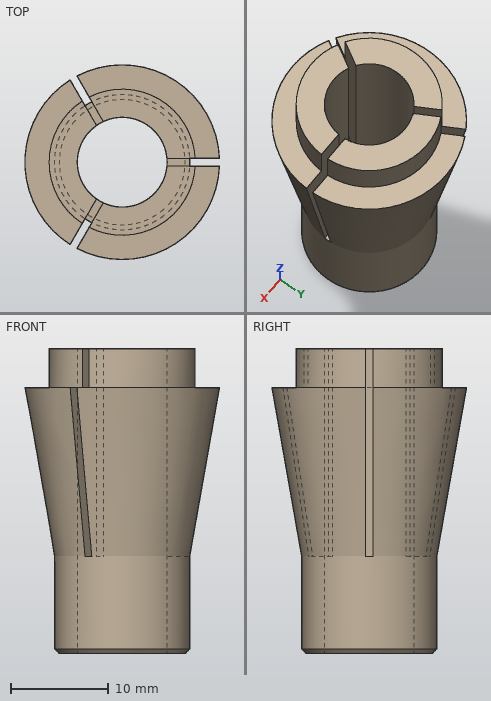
import cadquery as cq

SHANK_HEIGHT = 10.0
CONE_HEIGHT = 17.3
COLLAR_HEIGHT = 4.0
TOTAL_HEIGHT = SHANK_HEIGHT + CONE_HEIGHT + COLLAR_HEIGHT

SHANK_DIAMETER = 13.9
CONE_TOP_DIAMETER = 20.0
COLLAR_DIAMETER = 15.0
BORE_DIAMETER = 9.2

BOTTOM_CHAMFER = 0.5

SLIT_COUNT = 3
SLIT_SPACING = 360 / SLIT_COUNT
SLIT_WIDTH = 0.8


def make_body():
    """Shank, cone and collar as one revolved solid with a through bore."""
    bore_radius = BORE_DIAMETER / 2
    shank_radius = SHANK_DIAMETER / 2
    cone_top_radius = CONE_TOP_DIAMETER / 2
    collar_radius = COLLAR_DIAMETER / 2
    cone_top = SHANK_HEIGHT + CONE_HEIGHT

    half_section = [
        (bore_radius, 0),
        (shank_radius - BOTTOM_CHAMFER, 0),
        (shank_radius, BOTTOM_CHAMFER),
        (shank_radius, SHANK_HEIGHT),
        (cone_top_radius, cone_top),
        (collar_radius, cone_top),
        (collar_radius, TOTAL_HEIGHT),
        (bore_radius, TOTAL_HEIGHT),
    ]
    profile = cq.Workplane("XZ").polyline(half_section).close()
    return profile.revolve(360, (0, 0, 0), (0, 1, 0))


def make_slit(angle):
    """Cutter for one slit, from the axis outward, down to the top of the shank."""
    slit_length = CONE_TOP_DIAMETER
    slit_depth = CONE_HEIGHT + COLLAR_HEIGHT
    cutter = cq.Workplane("XY").box(slit_length, SLIT_WIDTH, slit_depth, centered=(False, True, False))
    cutter = cutter.translate((0, 0, SHANK_HEIGHT))
    return cutter.rotate((0, 0, 0), (0, 0, 1), angle)


result = make_body()
for index in range(SLIT_COUNT):
    result = result.cut(make_slit(index * SLIT_SPACING))